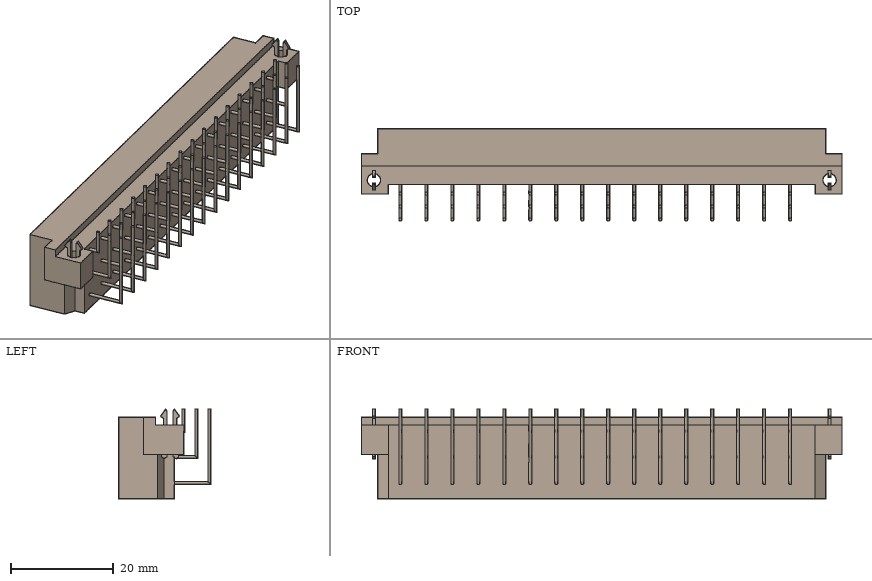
import cadquery as cq


length = 93.95
body_half_width = 43.8
body_depth = 10.9
body_height = 16.0
front_half_width = 41.7
taper_start_depth = 7.6
taper_end_depth = 8.8
step_depth = 7.2
step_height = 14.5

ear_rear_depth = 4.9
ear_front_depth = 12.8
ear_bottom = 8.6
hole_diameter = 2.5
hole_half_spacing = 44.5
hole_depth = 10.05

pin_diameter = 0.6
grid = 2.5
column_count = 16
column_span = 76.2
column_pitch = column_span / (column_count - 1)
column_offset = -grid / 2
row_count = 3
total_depth = 18.0
total_height = 17.6
lowest_leg_height = 3.1
leg_pitch = 2 * grid
pin_embed = 0.9

clip_thickness = 0.6
prong_inner = 0.6
prong_embed = 0.05
prong_outer = hole_diameter / 2 + prong_embed
upper_barb_reach = 1.9
upper_barb_height = 16.2
upper_barb_root = 15.7
upper_tip_reach = 0.8
upper_bevel_height = 17.1
lower_barb_reach = 1.7
lower_bevel_height = 8.3
lower_tip_reach = 1.2
lower_tip_height = 7.8


def block(x_min, x_max, depth_min, depth_max, z_min, z_max):
    """Box whose depths are measured forward (toward -Y) from the rear face."""
    size = (x_max - x_min, depth_max - depth_min, z_max - z_min)
    corner = (x_min, -depth_max, z_min)
    return cq.Workplane("XY").box(*size, centered=False).translate(corner)


def make_housing():
    outline = [
        (-body_half_width, 0),
        (-body_half_width, -taper_start_depth),
        (-front_half_width, -taper_end_depth),
        (-front_half_width, -body_depth),
        (front_half_width, -body_depth),
        (front_half_width, -taper_end_depth),
        (body_half_width, -taper_start_depth),
        (body_half_width, 0),
    ]
    housing = cq.Workplane("XY").polyline(outline).close().extrude(body_height)

    end = length / 2
    for x_min, x_max in ((-end, -front_half_width), (front_half_width, end)):
        housing = housing.union(
            block(x_min, x_max, ear_rear_depth, ear_front_depth, ear_bottom, body_height)
        )

    housing = housing.cut(block(-end, end, step_depth, ear_front_depth, step_height, body_height))

    holes = (
        cq.Workplane("XY")
        .pushPoints([(-hole_half_spacing, -hole_depth), (hole_half_spacing, -hole_depth)])
        .circle(hole_diameter / 2)
        .extrude(body_height)
    )
    return housing.cut(holes)


def make_pin(x, row):
    """Pin leaving the front face and turning up; row 0 is the outermost row."""
    radius = pin_diameter / 2
    post_depth = total_depth - radius - row * grid
    leg_height = lowest_leg_height + row * leg_pitch
    path = (
        cq.Workplane("YZ", origin=(x, 0, 0))
        .moveTo(-body_depth + pin_embed, leg_height)
        .lineTo(-post_depth, leg_height)
        .lineTo(-post_depth, total_height)
    )
    start = (x, -body_depth + pin_embed, leg_height)
    profile = cq.Workplane("XZ", origin=start).circle(radius)
    return profile.sweep(path, transition="right")


def make_prong(x, side):
    """One barbed clip prong; side is +1 for the rear prong and -1 for the front one."""
    outline = [
        (prong_inner, lower_bevel_height),
        (lower_tip_reach, lower_tip_height),
        (lower_barb_reach, lower_bevel_height),
        (lower_barb_reach, ear_bottom),
        (prong_outer, ear_bottom),
        (prong_outer, upper_barb_root),
        (upper_barb_reach, upper_barb_height),
        (upper_tip_reach, total_height),
        (prong_inner, upper_bevel_height),
    ]
    points = [(side * reach - hole_depth, z) for reach, z in outline]
    plane = cq.Workplane("YZ", origin=(x, 0, 0))
    return plane.polyline(points).close().extrude(clip_thickness / 2, both=True)


result = make_housing()

first_column = column_offset - column_span / 2
for column in range(column_count):
    for row in range(row_count):
        result = result.union(make_pin(first_column + column * column_pitch, row))

for clip_x in (-hole_half_spacing, hole_half_spacing):
    for side in (1, -1):
        result = result.union(make_prong(clip_x, side))